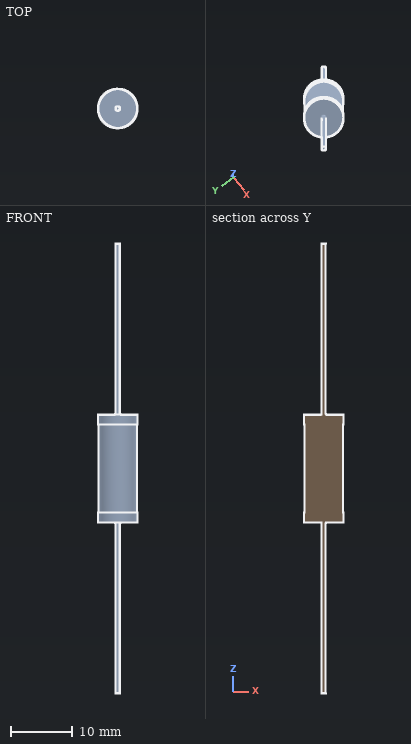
import cadquery as cq

overall_length = 73.5
lead_diameter = 0.7
body_length = 17.65
cap_diameter = 6.5
cap_length = 1.6
sleeve_diameter = 6.3
lead_fillet_radius = 0.2


def centred_cylinder(diameter, length):
    """Cylinder on the Z axis, centred on the origin."""
    return cq.Workplane("XY").circle(diameter / 2).extrude(length / 2, both=True)


def end_cap(side):
    """Cap flush with one end of the body; side is +1 for top, -1 for bottom."""
    return (
        cq.Workplane("XY")
        .workplane(offset=side * body_length / 2)
        .circle(cap_diameter / 2)
        .extrude(-side * cap_length)
    )


sleeve = centred_cylinder(sleeve_diameter, body_length)
leads = centred_cylinder(lead_diameter, overall_length)
part = sleeve.union(end_cap(1)).union(end_cap(-1)).union(leads)

root_zone_radius = 0.75 * lead_diameter
root_zone = cq.selectors.BoxSelector(
    (-root_zone_radius, -root_zone_radius, -body_length),
    (root_zone_radius, root_zone_radius, body_length),
    boundingbox=True,
)
lead_roots = part.edges("%CIRCLE").edges(root_zone)
result = lead_roots.fillet(lead_fillet_radius)